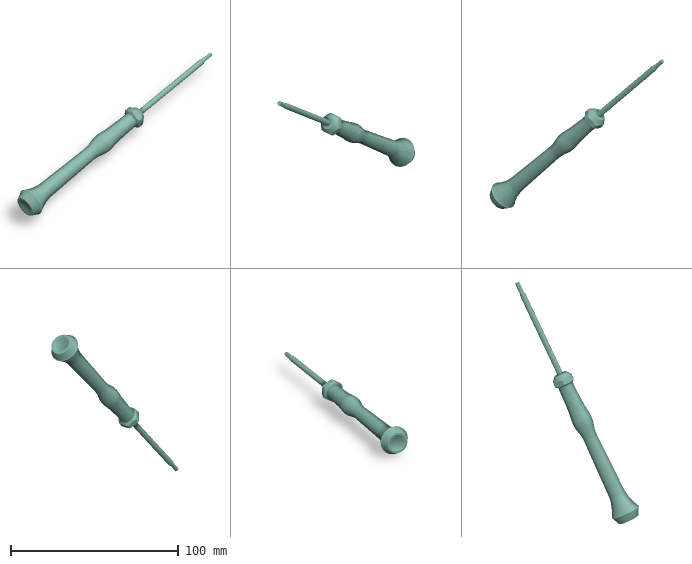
import cadquery as cq
import math

overall_length = 158.6

butt_end_radius = 6.5
dish_radius = 5.2
dish_depth = 1.9
rim_radius = 8.9
rim_y = 4.9
rim_land_start_radius = 8.5
rim_land_half_width = 0.5
cap_joint_y = 16.7
cap_joint_radius = 5.0
flare_points = [(7.1, 7.8), (9.5, 6.8), (13.0, 5.7)]

grip_joint_y = 54.7
grip_joint_radius = 4.3
swell_y = 65.5
swell_radius = 6.0
swell_flank_points = [(59.0, 4.8), (62.0, 5.5)]
swell_front_points = [(72.6, 5.4), (80.5, 4.9)]
handle_front_y = 90.2
handle_front_radius = 4.68

collar_flats = 11.9
collar_corner_radius = 6.7
collar_hex_start = 91.5
collar_hex_end = 94.4
collar_corner_chamfer = 0.5
collar_front_y = 97.4
collar_front_radius = 4.0

shank_radius = 1.7
shank_end_y = 150.8
tip_corner_radius = 1.35
tip_runout_y = 154.3
neck_radius = 1.5


def along_y(workplane_y):
    """Workplane facing +Y whose local axes are +X and -Z."""
    return cq.Workplane("XZ", origin=(0, workplane_y, 0)).transformed(rotate=(180, 0, 0))


def profile_points(stations):
    """Turn (y, radius) stations into points of the half profile."""
    return [(radius, y) for y, radius in stations]


def revolved(profile):
    return profile.close().revolve(360, (0, 0, 0), (0, 1, 0))


def make_handle():
    swell_and_front = [
        *swell_flank_points,
        (swell_y, swell_radius),
        *swell_front_points,
        (handle_front_y, handle_front_radius),
    ]
    flare = [*flare_points, (cap_joint_y, cap_joint_radius)]
    rim_front = (rim_land_start_radius, rim_y + rim_land_half_width)
    rim_back = (rim_land_start_radius, rim_y - rim_land_half_width)
    dish_sphere_radius = (dish_radius**2 + dish_depth**2) / (2 * dish_depth)
    dish_half_angle = math.asin(dish_radius / dish_sphere_radius) / 2
    dish_middle = (
        dish_sphere_radius * math.sin(dish_half_angle),
        dish_depth - dish_sphere_radius * (1 - math.cos(dish_half_angle)),
    )
    profile = (
        cq.Workplane("XY")
        .moveTo(0, dish_depth)
        .threePointArc(dish_middle, (dish_radius, 0))
        .lineTo(butt_end_radius, 0)
        .lineTo(*rim_back)
        .threePointArc((rim_radius, rim_y), rim_front)
        .spline(profile_points(flare), includeCurrent=True)
        .lineTo(grip_joint_radius, grip_joint_y)
        .spline(profile_points(swell_and_front), tangents=[(0, 1), (0, 1)], includeCurrent=True)
        .lineTo(0, handle_front_y)
    )
    return revolved(profile)


def make_collar():
    flat_radius = collar_flats / 2
    turned = revolved(
        cq.Workplane("XY")
        .moveTo(0, handle_front_y)
        .lineTo(handle_front_radius, handle_front_y)
        .lineTo(flat_radius, collar_hex_start - collar_corner_chamfer)
        .lineTo(collar_corner_radius, collar_hex_start)
        .lineTo(collar_corner_radius, collar_hex_end)
        .lineTo(flat_radius, collar_hex_end + collar_corner_chamfer)
        .lineTo(collar_front_radius, collar_front_y)
        .lineTo(0, collar_front_y)
    )
    corner_diameter = collar_flats / math.cos(math.pi / 6)
    hexagon = (
        along_y(handle_front_y)
        .transformed(rotate=(0, 0, 90))
        .polygon(6, corner_diameter)
        .extrude(collar_front_y - handle_front_y)
    )
    return turned.intersect(hexagon)


def make_shank():
    return along_y(collar_front_y).circle(shank_radius).extrude(shank_end_y - collar_front_y)


def make_tip():
    hexagon = (
        along_y(shank_end_y)
        .polygon(6, 2 * tip_corner_radius)
        .extrude(overall_length - shank_end_y)
    )
    tip_flat_radius = tip_corner_radius * math.cos(math.pi / 6)
    neck = revolved(
        cq.Workplane("XY")
        .moveTo(0, shank_end_y)
        .lineTo(neck_radius, shank_end_y)
        .lineTo(tip_flat_radius, tip_runout_y)
        .lineTo(0, tip_runout_y)
    )
    return hexagon.union(neck)


result = make_handle().union(make_collar()).union(make_shank()).union(make_tip())